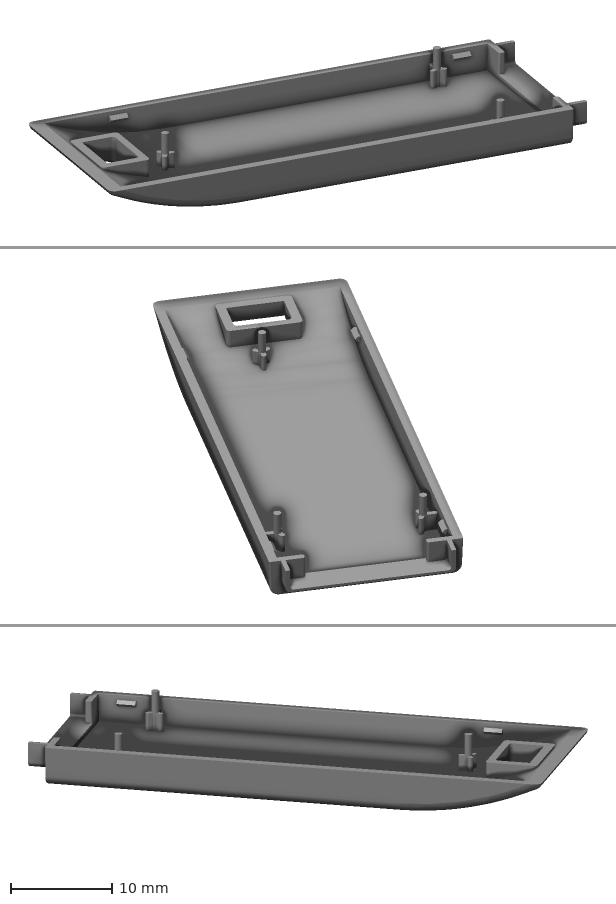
import cadquery as cq
import math

total_length = 52.6
rim_width = 19.8
rim_height = 3.95
tray_rear = 50.6
floor_thickness = 1.15
rim_side_wall = 0.95
rear_wall_top = 0.7
rear_wall_draft = 0.1
outer_draft = math.radians(2.3)
inner_draft = math.radians(3)
sweep_start = 14.6
cavity_front = 1.5
nose_height = 0.4
nose_corner_radius = 0.8
bottom_edge_radius = 0.95
rear_corner_radius = 0.15

opening_half_width = 6.2
stub_tip_radius = 0.2
tab_width = 17.35
tab_bottom = 1.4
tab_top = 1.7
cheek_thickness = 0.45
tab_edge_radius = 0.5
tab_inner_radius = 0.3
snap_rib_y = 51.45
snap_rib_width = 0.75
snap_rib_depth = 0.4

collar_width = 7.8
collar_front = 1.9
collar_rear = 7.15
collar_radius = 0.4
window_width = 5.9
window_front = 2.85
window_rear = 6.35
window_radius = 0.35
window_lip_radius = 0.3

pin_radius = 0.395
pin_base = 0.65
pin_top = 5.2
fin_top = 3.0
fin_reach = 1.0
wall_fin_reach = 1.45
fin_thickness = 0.5
side_pin_x = 7.4
side_pin_y = 43.7
front_pin_x = 1.0
front_pin_y = 10.1

ridge_length = 1.9
ridge_y_centres = (9.5, 46.95)
ridge_reach = 0.6
ridge_flat = 0.25
ridge_top = 3.5
ridge_tip = 3.2
ridge_bottom = 2.9

select_margin = 0.05

inner_half_width = rim_width / 2 - rim_side_wall
rear_wall_inside = tray_rear - rear_wall_top
cavity_floor_rear = rear_wall_inside - rear_wall_draft


def block(x_min, x_max, y_min, y_max, z_min, z_max):
    """Box given by its limits along each axis."""
    size = (x_max - x_min, y_max - y_min, z_max - z_min)
    return cq.Workplane("XY").box(*size, centered=False).translate((x_min, y_min, z_min))


def upright_edges(solid, x_min, x_max, y_min, y_max):
    """Edges centred within a plan rectangle, at a height between the tab plate and the rim."""
    return solid.edges(
        cq.selectors.BoxSelector(
            (x_min - select_margin, y_min - select_margin, tab_top + select_margin),
            (x_max + select_margin, y_max + select_margin, rim_height - select_margin),
        )
    )


def tapered_bar(rim_half_width, draft):
    """Bar as long as the tray whose sides lean inwards towards the bottom."""
    bottom_half_width = rim_half_width - rim_height * math.tan(draft)
    section = [
        (-bottom_half_width, 0),
        (bottom_half_width, 0),
        (rim_half_width, rim_height),
        (-rim_half_width, rim_height),
    ]
    return cq.Workplane("XZ").polyline(section).close().extrude(-tray_rear)


def underside(y_rear, floor_z, y_front, front_z):
    """Open outline in YZ: flat floor from the rear, then an arc tangent to it up to the front."""
    run = sweep_start - y_front
    rise = front_z - floor_z
    radius = (run**2 + rise**2) / (2 * rise)
    half_angle = math.asin(run / radius) / 2
    middle = (
        sweep_start - radius * math.sin(half_angle),
        floor_z + radius * (1 - math.cos(half_angle)),
    )
    return (
        cq.Workplane("YZ")
        .moveTo(y_rear, floor_z)
        .lineTo(sweep_start, floor_z)
        .threePointArc(middle, (y_front, front_z))
    )


def across_width(outline):
    """Close a YZ outline and extrude it over the full width of the rim."""
    return outline.close().extrude(rim_width / 2, both=True)


def outer_body():
    """Tray before hollowing out, with its outer edges rounded."""
    bar = tapered_bar(rim_width / 2, outer_draft)
    outline = underside(tray_rear, 0, 0, rim_height - nose_height)
    body = bar.intersect(across_width(outline.lineTo(0, rim_height).lineTo(tray_rear, rim_height)))
    body = body.faces("<Y").edges("not #Z").fillet(nose_corner_radius)
    body = body.faces("<Z").edges("|Y").fillet(bottom_edge_radius)
    half_width = rim_width / 2
    return upright_edges(body, -half_width, half_width, tray_rear, tray_rear).fillet(rear_corner_radius)


def cavity():
    """Inside of the tray; its floor runs out at the rim just behind the nose."""
    bar = tapered_bar(inner_half_width, inner_draft)
    outline = underside(cavity_floor_rear, floor_thickness, cavity_front, rim_height)
    return bar.intersect(across_width(outline.lineTo(rear_wall_inside, rim_height)))


def open_rear_wall(tray):
    """Cut the gap in the rear wall, leaving a round-ended stub at each side."""
    gap = block(
        -opening_half_width, opening_half_width, cavity_floor_rear, tray_rear, tab_top, rim_height
    )
    tray = tray.cut(gap)
    for x in (-opening_half_width, opening_half_width):
        tray = upright_edges(tray, x, x, cavity_floor_rear, tray_rear).fillet(stub_tip_radius)
    return tray


def rear_tab():
    """Channel behind the tray: a plate between two upright cheeks."""
    half_width = tab_width / 2
    half_inside = half_width - cheek_thickness
    channel = block(
        -half_width, half_width, rear_wall_inside, total_length, tab_bottom, rim_height
    )
    channel = channel.faces("<Z").edges("|Y").fillet(tab_edge_radius)
    hollow = block(-half_inside, half_inside, 0, total_length, tab_top, rim_height)
    hollow = hollow.faces("<Z").edges("|Y").fillet(tab_inner_radius)
    tray_interior = block(-half_width, half_width, 0, tray_rear, tab_top, rim_height)
    return channel.cut(hollow).cut(tray_interior)


def snap_rib():
    """Rounded rib across the underside of the tab."""
    half_width = snap_rib_width / 2
    rib = (
        cq.Workplane("YZ")
        .moveTo(snap_rib_y - half_width, tab_bottom)
        .threePointArc(
            (snap_rib_y, tab_bottom - snap_rib_depth),
            (snap_rib_y + half_width, tab_bottom),
        )
        .close()
    )
    return rib.extrude(opening_half_width, both=True)


def window_collar(body):
    """Flat-topped frame standing on the front sweep, trimmed to the outer shape."""
    half_width = collar_width / 2
    collar = block(-half_width, half_width, collar_front, collar_rear, 0, rim_height)
    return collar.edges("|Z").fillet(collar_radius).intersect(body)


def cut_window(tray):
    """Cut the opening through collar and floor."""
    half_width = window_width / 2
    opening = block(-half_width, half_width, window_front, window_rear, 0, rim_height)
    opening = opening.faces(">Y").edges("|Z").fillet(window_radius)
    tray = tray.cut(opening)
    lip = cq.selectors.BoxSelector(
        (-half_width - select_margin, window_front + select_margin, 0),
        (half_width + select_margin, window_rear + select_margin, rim_height - nose_height),
    )
    lip_edges = tray.edges(lip).edges("not |Z")
    return lip_edges.fillet(window_lip_radius)


def locating_pin(x, y, first_angle, first_reach):
    """Round pin with three round-ended fins; the first has its own angle from +X and reach."""
    pin = cq.Workplane("XY", origin=(x, y, pin_base)).circle(pin_radius).extrude(pin_top - pin_base)
    reaches = (first_reach, fin_reach, fin_reach)
    for index, reach in enumerate(reaches):
        fin_length = reach + fin_thickness / 2
        fin = (
            cq.Workplane("XY", origin=(x, y, pin_base))
            .transformed(rotate=(0, 0, first_angle + index * 360 / len(reaches)))
            .center((reach - fin_thickness / 2) / 2, 0)
            .slot2D(fin_length, fin_thickness)
            .extrude(fin_top - pin_base)
        )
        pin = pin.union(fin)
    return pin


def wall_ridge(y_centre):
    """Short catch on the inside of the left wall, bevelled above and below its tip."""
    root = -inner_half_width - rim_side_wall / 2
    flat_end = -inner_half_width + ridge_flat
    tip = -inner_half_width + ridge_reach
    section = [
        (root, ridge_top),
        (flat_end, ridge_top),
        (tip, ridge_tip),
        (flat_end, ridge_bottom),
        (root, ridge_bottom),
    ]
    ridge = cq.Workplane("XZ").polyline(section).close().extrude(ridge_length / 2, both=True)
    return ridge.translate((0, y_centre, 0))


body = outer_body()
tray = open_rear_wall(body.cut(cavity()))
tray = cut_window(tray.union(window_collar(body)))
tray = tray.union(rear_tab().union(snap_rib()))

for ridge_y in ridge_y_centres:
    ridge = wall_ridge(ridge_y)
    tray = tray.union(ridge).union(ridge.mirror("YZ"))

side_pin = locating_pin(-side_pin_x, side_pin_y, 180, wall_fin_reach)
tray = tray.union(side_pin).union(side_pin.mirror("YZ"))
result = tray.union(locating_pin(front_pin_x, front_pin_y, 90, fin_reach))